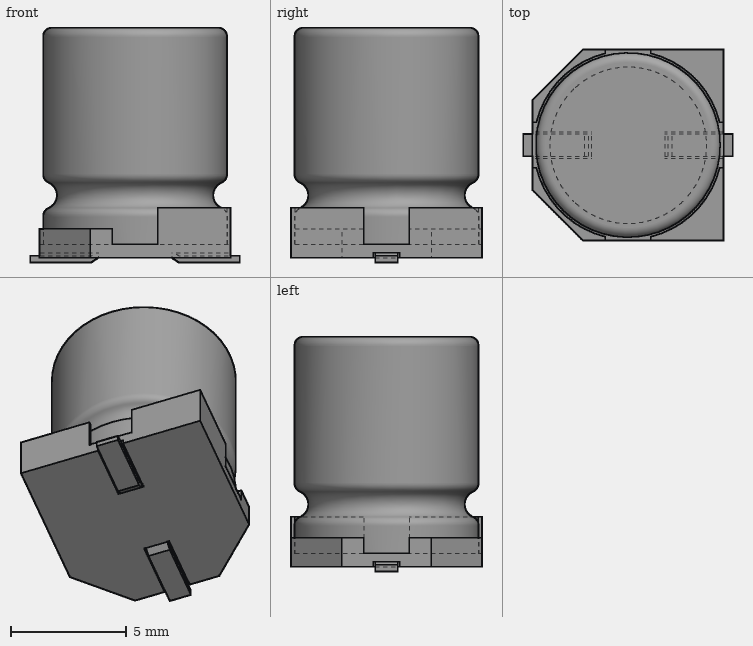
import cadquery as cq
import math


total_height = 10.2
lead_span = 9.1

can_radius = 4.0
can_edge_radius = 0.4
neck_groove_radius = 0.6
neck_depth = 0.6
neck_center_z = 2.92

base_size = 8.3
base_bottom_z = 0.2
base_low_top_z = 1.46
base_high_top_z = 2.38
base_chamfer = 2.2
pocket_radius = 4.1
pocket_floor_z = 0.8
gap_width = 1.96

lead_width = 0.98
lead_thickness = 0.3
lead_bend_x = 1.9
lead_end_x = 1.6
lead_slot_width = 1.16
lead_slot_top_z = 0.42


def make_can():
    """Revolve the can profile: straight walls, a rounded rim and a smooth neck groove."""
    radius_sum = can_edge_radius + neck_groove_radius
    sweep = math.acos(1 - neck_depth / radius_sum)
    groove_half_height = radius_sum * math.sin(sweep)
    shoulder_center_r = can_radius - can_edge_radius
    neck_radius = can_radius - neck_depth
    groove_center_r = neck_radius + neck_groove_radius

    def shoulder_point(side, angle):
        r = shoulder_center_r + can_edge_radius * math.cos(angle)
        z = neck_center_z + side * (groove_half_height - can_edge_radius * math.sin(angle))
        return (r, z)

    def tangent_point(side):
        r = groove_center_r - neck_groove_radius * math.cos(sweep)
        z = neck_center_z + side * neck_groove_radius * math.sin(sweep)
        return (r, z)

    rim_z = total_height - can_edge_radius
    rim_mid = can_edge_radius * math.sqrt(0.5)
    profile = (
        cq.Workplane("XZ")
        .moveTo(0, pocket_floor_z)
        .lineTo(can_radius, pocket_floor_z)
        .lineTo(can_radius, neck_center_z - groove_half_height)
        .threePointArc(shoulder_point(-1, sweep / 2), tangent_point(-1))
        .threePointArc((neck_radius, neck_center_z), tangent_point(1))
        .threePointArc(shoulder_point(1, sweep / 2), (can_radius, neck_center_z + groove_half_height))
        .lineTo(can_radius, rim_z)
        .threePointArc((shoulder_center_r + rim_mid, rim_z + rim_mid), (shoulder_center_r, total_height))
        .lineTo(0, total_height)
        .close()
    )
    return profile.revolve(360, (0, 0, 0), (0, 1, 0))


def block(x_size, y_size, bottom_z, top_z, x_center=0):
    """Box centred on Y = 0 between two heights."""
    return (
        cq.Workplane("XY", origin=(x_center, 0, bottom_z))
        .rect(x_size, y_size)
        .extrude(top_z - bottom_z)
    )


def make_base():
    """Square base with two chamfered corners, four corner posts and a round pocket for the can."""
    base = block(base_size, base_size, base_bottom_z, base_high_top_z)
    base = base.edges("|Z and <X").chamfer(base_chamfer)

    half_size = base_size / 2
    base = base.cut(block(half_size, base_size, base_low_top_z, base_high_top_z, -half_size / 2))

    base = base.cut(block(base_size, gap_width, pocket_floor_z, base_high_top_z))
    base = base.cut(block(gap_width, base_size, pocket_floor_z, base_high_top_z))
    pocket = (
        cq.Workplane("XY", origin=(0, 0, pocket_floor_z))
        .circle(pocket_radius)
        .extrude(base_high_top_z - pocket_floor_z)
    )
    base = base.cut(pocket)

    slot_length = half_size - lead_end_x
    slot_center_x = lead_end_x + slot_length / 2
    for side in (-1, 1):
        slot = block(slot_length, lead_slot_width, base_bottom_z, lead_slot_top_z, side * slot_center_x)
        base = base.cut(slot)
    return base


def make_lead(side):
    """Flat lead whose inner end slopes up into the base; side is -1 or +1 along X."""
    rise_per_x = base_bottom_z / (lead_bend_x - lead_end_x)
    inner_x = lead_bend_x - lead_slot_top_z / rise_per_x
    outer_x = lead_span / 2
    outline = [
        (outer_x, 0),
        (lead_bend_x, 0),
        (inner_x, lead_slot_top_z),
        (inner_x, lead_slot_top_z + lead_thickness),
        (lead_bend_x, lead_thickness),
        (outer_x, lead_thickness),
    ]
    return (
        cq.Workplane("XZ")
        .polyline([(side * x, z) for x, z in outline])
        .close()
        .extrude(lead_width / 2, both=True)
    )


result = make_base().union(make_can())
for lead_side in (-1, 1):
    result = result.union(make_lead(lead_side))